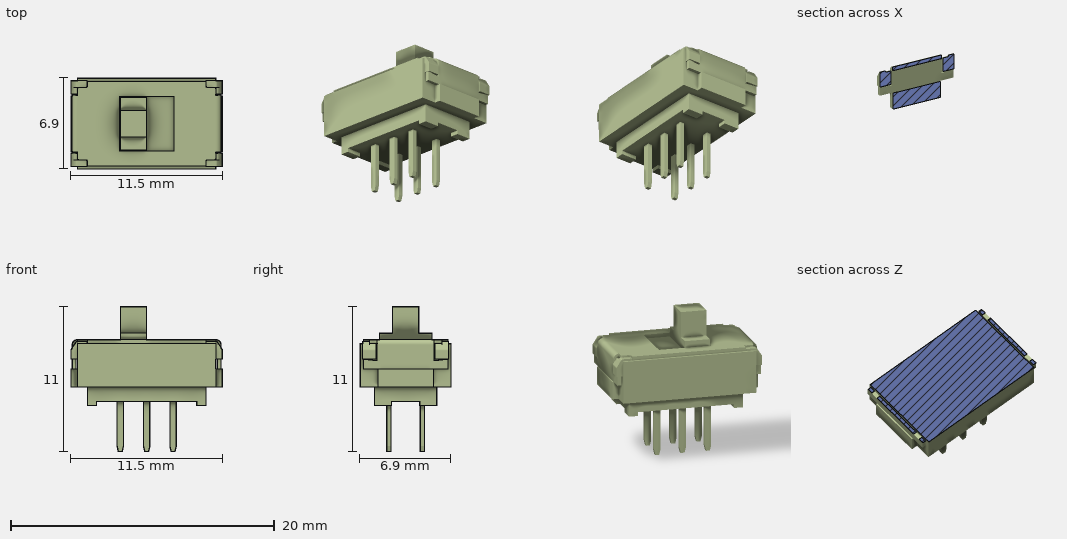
import cadquery as cq

overall_length = 11.5
housing_length = 10.5
housing_width = 6.9
housing_bottom = 1.4
housing_top = 4.7

base_length = 9.0
base_width = 4.73
foot_height = 0.3
foot_length = 0.71
foot_gap = 2.12

end_block_width = 4.2
end_block_height = 1.39
cover_length = 11.3
cover_width = 6.43
cover_thickness = 0.3
cover_bend_radius = 0.4
cover_bottom = housing_bottom + end_block_height
cover_top = housing_top + cover_thickness
window_size = 4.12

notch_start_x = 4.48
notch_start_y = 2.75
notch_corner_radius = 0.13
slot_start_y = 2.16
slot_bottom = 3.4
slot_rise = 0.12

latch_start_x = 4.51
latch_start_y = 2.24
latch_end_y = 3.25
latch_bottom = 3.52
latch_top = 4.86
latch_slope_top_x = 5.34
latch_slope_bottom = 4.22
latch_edge_radius = 0.17
hook_corner_radius = 0.1

lever_length = 2.0
lever_plate_width = 2 * lever_length
lever_plate_top = 5.5
lever_top = 7.51

pin_pitch = 2.0
pin_row_spacing = 2.54
pin_width = 0.5
pin_thickness = 0.35
pin_length = 3.5
pin_tip_width = 0.3
pin_tip_length = 0.4

half_length = overall_length / 2
half_housing = housing_length / 2


def box(x_range, y_range, z_range):
    """Block between the given limits on each axis."""
    size = [high - low for low, high in (x_range, y_range, z_range)]
    corner = (x_range[0], y_range[0], z_range[0])
    return cq.Workplane("XY").box(*size, centered=False).translate(corner)


def centered_box(length, width, bottom, top):
    """Block centred on the Z axis."""
    return box((-length / 2, length / 2), (-width / 2, width / 2), (bottom, top))


def at_four_corners(shape):
    """The shape and its mirror images across the XZ and YZ planes."""
    pair = shape.union(shape.mirror("XZ"))
    return pair.union(pair.mirror("YZ"))


def make_base():
    base = centered_box(base_length, base_width, 0, housing_bottom)
    long_channel = centered_box(base_length, foot_gap, 0, foot_height)
    cross_channel = centered_box(base_length - 2 * foot_length, base_width, 0, foot_height)
    return base.cut(long_channel).cut(cross_channel)


def make_housing():
    body = centered_box(housing_length, housing_width, housing_bottom, housing_top)
    end_blocks = centered_box(overall_length, end_block_width, housing_bottom, cover_bottom)
    return body.union(end_blocks)


def make_latch_layer(top, slope_top_x, start_y):
    """Sloped block of one latch with softened bends, up to the given height."""
    profile = [
        (latch_start_x, top),
        (latch_start_x, housing_top - cover_thickness),
        (half_housing, housing_top - cover_thickness),
        (half_housing, latch_bottom),
        (half_length, latch_bottom),
        (half_length, latch_slope_bottom),
        (slope_top_x, top),
    ]
    layer = (
        cq.Workplane("XZ", origin=(0, latch_end_y, 0))
        .polyline(profile)
        .close()
        .extrude(latch_end_y - start_y)
    )
    margin = 0.01
    bends = cq.selectors.BoxSelector(
        (slope_top_x - margin, 0, latch_slope_bottom - margin),
        (half_length + margin, housing_width, top + margin),
    )
    return layer.edges("|Y").edges(bends).fillet(latch_edge_radius)


def make_latches():
    slope = (half_length - latch_slope_top_x) / (latch_top - latch_slope_bottom)
    ledge_slope_top_x = half_length - slope * (housing_top - latch_slope_bottom)
    hook = make_latch_layer(latch_top, latch_slope_top_x, notch_start_y)
    hook = hook.edges("|Z and <X and <Y").fillet(hook_corner_radius)
    ledge = make_latch_layer(housing_top, ledge_slope_top_x, latch_start_y)
    return at_four_corners(hook.union(ledge))


def make_cover_notch():
    """Clearance for one latch: a notch in the top sheet and a slot down the end wall."""
    top_notch = (
        cq.Workplane("XY", origin=(0, 0, housing_top))
        .moveTo(notch_start_x, housing_width)
        .lineTo(notch_start_x, notch_start_y + notch_corner_radius)
        .radiusArc((notch_start_x + notch_corner_radius, notch_start_y), -notch_corner_radius)
        .lineTo(half_housing - notch_corner_radius, notch_start_y)
        .radiusArc((half_housing, notch_start_y - notch_corner_radius), notch_corner_radius)
        .lineTo(half_housing, slot_start_y)
        .lineTo(half_length, slot_start_y)
        .lineTo(half_length, housing_width)
        .close()
        .extrude(cover_thickness)
    )
    wall_slot = (
        cq.Workplane("YZ", origin=(half_housing, 0, 0))
        .moveTo(slot_start_y, slot_bottom)
        .lineTo(cover_width / 2, slot_bottom + slot_rise)
        .lineTo(cover_width / 2, cover_top)
        .lineTo(slot_start_y, cover_top)
        .close()
        .extrude(half_length - half_housing)
    )
    return top_notch.union(wall_slot)


def make_cover():
    outer = centered_box(cover_length, cover_width, cover_bottom, cover_top)
    outer = outer.edges("|Y and >Z").fillet(cover_bend_radius)
    inner_length = cover_length - 2 * cover_thickness
    inner = centered_box(inner_length, cover_width, cover_bottom, housing_top)
    inner = inner.edges("|Y and >Z").fillet(cover_bend_radius - cover_thickness)
    window = centered_box(window_size, window_size, housing_top, cover_top)
    return outer.cut(inner).cut(window).cut(at_four_corners(make_cover_notch()))


def make_lever():
    x_range = (-lever_length, 0)
    half_plate = lever_plate_width / 2
    half_knob = lever_length / 2
    plate = box(x_range, (-half_plate, half_plate), (housing_top, lever_plate_top))
    knob = box(x_range, (-half_knob, half_knob), (lever_plate_top, lever_top))
    return plate.union(knob)


def make_pin():
    """Pin with a tip tapered along X, rooted in the base."""
    outline = [
        (-pin_width / 2, housing_bottom),
        (-pin_width / 2, pin_tip_length - pin_length),
        (-pin_tip_width / 2, -pin_length),
        (pin_tip_width / 2, -pin_length),
        (pin_width / 2, pin_tip_length - pin_length),
        (pin_width / 2, housing_bottom),
    ]
    return cq.Workplane("XZ").polyline(outline).close().extrude(pin_thickness / 2, both=True)


result = make_base()
for part in (make_housing(), make_latches(), make_cover(), make_lever()):
    result = result.union(part)
for column in (-1, 0, 1):
    for row in (-0.5, 0.5):
        pin = make_pin().translate((column * pin_pitch, row * pin_row_spacing, 0))
        result = result.union(pin)